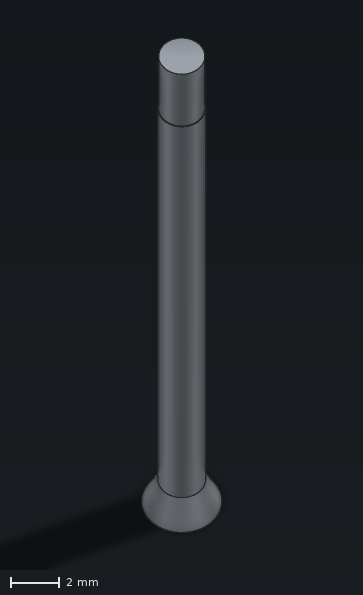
import cadquery as cq

total_length = 30.0
tip_length = 3.5
tip_diameter = 1.93
shank_diameter = 2.0
head_height = 1.5
head_diameter = 3.35

shank_top = total_length - tip_length

half_outline = (
    cq.Workplane("XZ")
    .moveTo(0, 0)
    .lineTo(head_diameter / 2, 0)
    .lineTo(shank_diameter / 2, head_height)
    .lineTo(shank_diameter / 2, shank_top)
    .lineTo(tip_diameter / 2, shank_top)
    .lineTo(tip_diameter / 2, total_length)
    .lineTo(0, total_length)
    .close()
)

result = half_outline.revolve(360, (0, 0, 0), (0, 1, 0))